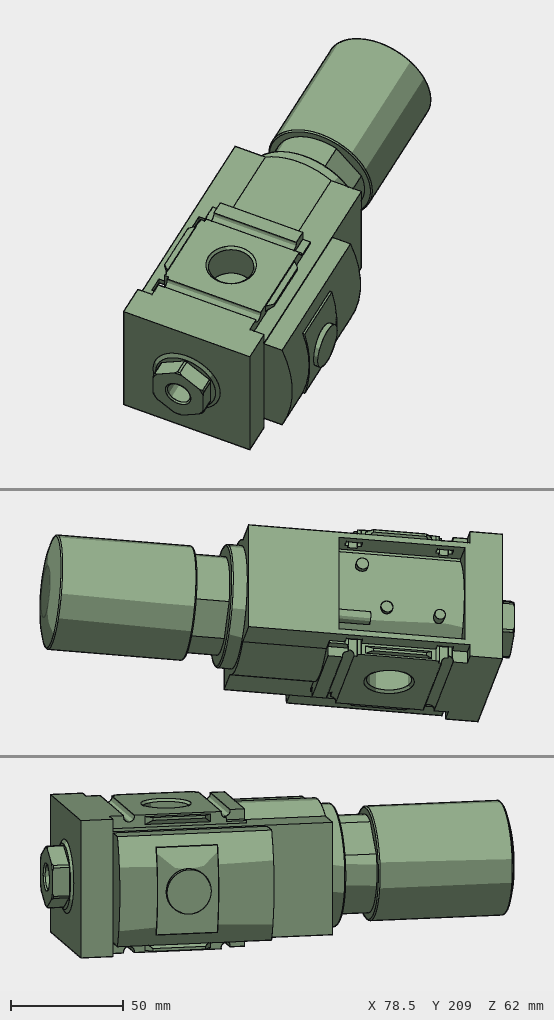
import cadquery as cq
import math

OVERALL_LENGTH = 209.0
OVERALL_WIDTH = 78.5

BLOCK = 62.0
HALF = BLOCK / 2
FRONT_LENGTH = 14.6
BODY_LENGTH = 114.4
BODY_HEIGHT = 50.8
DECK = BODY_HEIGHT / 2
BONNET_DIA = 60.2
EDGE_CHAMFER = 0.6

PORT_Y = 45.5
PLATE_WIDTH = 48.0
PLATE_END = 76.7
PORT_DIA = 20.0
PORT_MOUTH_DIA = 22.4
PORT_DEPTH = 16.7
GROOVE_OFFSET = 22.2
GROOVE_WIDTH = 4.8
GROOVE_DEPTH = 3.0
BAR_WIDTH = 40.5
NOTCH_FLOOR_HEIGHT = 1.0
LIP_REACH = 3.0
LIP_LENGTH = 29.7
LIP_DROP = 0.8
LIP_EDGE_HEIGHT = 1.3
LIP_ROOT_HEIGHT = 3.5

SLOT_OFFSET = 20.5
SLOT_OUTER_X = -27.4
SLOT_STEP_X = -23.8
SLOT_INNER_X = -22.0
SLOT_HEAD = 7.3
SLOT_STEM = 4.2

WINDOW_START = 17.0
WINDOW_END = 73.5
WINDOW_HEIGHT = 45.5
WINDOW_FLOOR_X = -19.9
CORE_DIA = 58.5
PIN_TIP_X = -30.3
STUD_TIP_X = -28.9
CORE_PINS = [
    (63.0, 11.0, 5.5, PIN_TIP_X),
    (51.6, -8.5, 5.5, STUD_TIP_X),
    (28.0, -11.0, 4.8, PIN_TIP_X),
]
ROD_DIA = 5.9
ROD_X = -26.0
ROD_Z = -13.5
ROD_LENGTH = 14.6

COVER_END = 84.7
COVER_HEIGHT = 49.8
COVER_EDGE_X = 40.0
COVER_CROWN_X = 45.0
PANEL_LENGTH = 27.8
PANEL_HEIGHT = 39.5
PANEL_EDGE_X = 42.9
PANEL_CROWN_X = 45.4
BUTTON_DIA = 20.0
BUTTON_TIP_X = OVERALL_WIDTH - HALF

FLANGE_BASE_DIA = 33.0
FLANGE_TOP_DIA = 29.5
FLANGE_LENGTH = 1.0
NUT_LENGTH = 8.8
NUT_FLATS = 24.7
NUT_ROUND_DIA = 27.8
NUT_CHAMFER = 0.6
VENT_DIA = 11.0
VENT_MOUTH_DIA = 12.5
VENT_DEPTH = 16.7

COLLAR_DIA = 55.0
COLLAR_END = 121.3
NECK_DIA = 44.0
NECK_FLATS = 40.4
NECK_FLAT_ANGLE = -45.0

KNOB_DIA = 51.0
KNOB_START = 136.5
KNOB_END = OVERALL_LENGTH - NUT_LENGTH
KNOB_FLAT_DIA = 23.0
KNOB_DOME_HEIGHT = 2.5


def box(x_range, y_range, z_range):
    """Box between two limits on each axis."""
    size = [high - low for low, high in (x_range, y_range, z_range)]
    corner = (x_range[0], y_range[0], z_range[0])
    return cq.Workplane("XY").box(*size, centered=False).translate(corner)


def cylinder_y(diameter, start, end, x=0, z=0):
    """Cylinder along Y from start to end."""
    return cq.Workplane("XZ", origin=(x, start, z)).circle(diameter / 2).extrude(start - end)


def cylinder_x(diameter, start, end, y, z):
    """Cylinder along X from start to end."""
    return cq.Workplane("YZ", origin=(start, y, z)).circle(diameter / 2).extrude(end - start)


def both_decks(shape):
    """A shape on the +Z deck together with its mirror image on the -Z deck."""
    return shape.union(shape.mirror("XY"))


def port_plate():
    half_width = PLATE_WIDTH / 2
    plate = box((-half_width, half_width), (FRONT_LENGTH, PLATE_END), (0, HALF))
    notch = corner_notch()
    lip = clamping_lip()
    plate = plate.cut(notch).cut(notch.mirror("YZ"))
    return plate.union(lip).union(lip.mirror("YZ"))


def corner_notch():
    """Step in the rear -X corner of a plate, reaching the middle of the rear groove."""
    return box(
        (-PLATE_WIDTH / 2, -BAR_WIDTH / 2),
        (PORT_Y + GROOVE_OFFSET, PLATE_END),
        (DECK + NOTCH_FLOOR_HEIGHT, HALF),
    )


def plate_groove(center_y):
    """Rounded groove along X across a plate."""
    return (
        cq.Workplane("YZ", origin=(-PLATE_WIDTH / 2, center_y, HALF))
        .moveTo(-GROOVE_WIDTH / 2, 0)
        .threePointArc((0, -GROOVE_DEPTH), (GROOVE_WIDTH / 2, 0))
        .close()
        .extrude(PLATE_WIDTH)
    )


def clamping_lip():
    """Lip with a sloping underside and beveled ends on the -X flank of a plate."""
    root_x = -PLATE_WIDTH / 2
    edge_x = root_x - LIP_REACH
    top = HALF - LIP_DROP
    profile = [
        (root_x, top),
        (edge_x, top),
        (edge_x, top - LIP_EDGE_HEIGHT),
        (root_x, top - LIP_ROOT_HEIGHT),
    ]
    lip = (
        cq.Workplane("XZ", origin=(0, PORT_Y, 0))
        .polyline(profile)
        .close()
        .extrude(LIP_LENGTH / 2, both=True)
    )
    half_length = LIP_LENGTH / 2
    outline = [
        (root_x, -half_length),
        (edge_x, LIP_REACH - half_length),
        (edge_x, half_length - LIP_REACH),
        (root_x, half_length),
    ]
    beveled = cq.Workplane("XY", origin=(0, PORT_Y, 0)).polyline(outline).close().extrude(HALF)
    return lip.intersect(beveled)


def port_hole():
    """Port bore with a conical mouth, running down from the +Z face."""
    mouth_depth = (PORT_MOUTH_DIA - PORT_DIA) / 2
    bore = (
        cq.Workplane("XY", origin=(0, PORT_Y, HALF))
        .circle(PORT_DIA / 2)
        .extrude(-PORT_DEPTH)
    )
    mouth = (
        cq.Workplane("XY", origin=(0, PORT_Y, HALF))
        .circle(PORT_MOUTH_DIA / 2)
        .extrude(-mouth_depth, taper=45)
    )
    return bore.union(mouth)


def t_slot(center_y):
    """T-shaped slot from the plate top down into the side window."""
    z_range = (WINDOW_HEIGHT / 2, HALF)
    head = box(
        (SLOT_OUTER_X, SLOT_STEP_X),
        (center_y - SLOT_HEAD / 2, center_y + SLOT_HEAD / 2),
        z_range,
    )
    stem = box(
        (SLOT_STEP_X, SLOT_INNER_X),
        (center_y - SLOT_STEM / 2, center_y + SLOT_STEM / 2),
        z_range,
    )
    return head.union(stem)


def side_window():
    """Pocket in the -X side that leaves the round core standing."""
    half_height = WINDOW_HEIGHT / 2
    pocket = box(
        (-HALF, WINDOW_FLOOR_X), (WINDOW_START, WINDOW_END), (-half_height, half_height)
    )
    return pocket.cut(cylinder_y(CORE_DIA, WINDOW_START, WINDOW_END))


def add_core_details(housing):
    """Pins and a rod on the round core in the window."""
    for y, z, diameter, tip_x in CORE_PINS:
        housing = housing.union(cylinder_x(diameter, tip_x, WINDOW_FLOOR_X, y, z))
    rod_start = WINDOW_END - ROD_LENGTH
    return housing.union(cylinder_y(ROD_DIA, rod_start, WINDOW_END, ROD_X, ROD_Z))


def curved_pad(y_range, height, edge_x, crown_x):
    """Pad on the +X face whose outer face arches in Z from its edges up to its crown."""
    half_height = height / 2
    rise = crown_x - edge_x
    radius = (rise**2 + half_height**2) / (2 * rise)
    pad = box((HALF, crown_x), y_range, (-half_height, half_height))
    return pad.intersect(cylinder_y(2 * radius, *y_range, crown_x - radius))


def side_cover():
    """Cover with a curved outer face, a raised panel and a round button."""
    cover = curved_pad((FRONT_LENGTH, COVER_END), COVER_HEIGHT, COVER_EDGE_X, COVER_CROWN_X)
    panel_range = (PORT_Y - PANEL_LENGTH / 2, PORT_Y + PANEL_LENGTH / 2)
    panel = curved_pad(panel_range, PANEL_HEIGHT, PANEL_EDGE_X, PANEL_CROWN_X)
    button = cylinder_x(BUTTON_DIA, HALF, BUTTON_TIP_X, PORT_Y, 0)
    return cover.union(panel).union(button)


def vent_nut():
    """Conical flange and hexagon on the front face, with two flats facing +X and -X."""
    flange_taper = math.degrees(math.atan((FLANGE_BASE_DIA - FLANGE_TOP_DIA) / 2 / FLANGE_LENGTH))
    flange = (
        cq.Workplane("XZ").circle(FLANGE_BASE_DIA / 2).extrude(FLANGE_LENGTH, taper=flange_taper)
    )
    hexagon = (
        cq.Workplane("XZ")
        .polygon(6, NUT_FLATS, circumscribed=True)
        .extrude(NUT_LENGTH)
    )
    turned = cylinder_y(NUT_ROUND_DIA, -NUT_LENGTH, 0).faces("<Y").chamfer(NUT_CHAMFER)
    return flange.union(hexagon.intersect(turned))


def vent_hole():
    front = -NUT_LENGTH
    mouth_depth = (VENT_MOUTH_DIA - VENT_DIA) / 2
    bore = cylinder_y(VENT_DIA, front, front + VENT_DEPTH)
    mouth = (
        cq.Workplane("XZ", origin=(0, front, 0))
        .circle(VENT_MOUTH_DIA / 2)
        .extrude(-mouth_depth, taper=45)
    )
    return bore.union(mouth)


def neck():
    """Collar and the neck behind it, with two wrench flats."""
    collar = cylinder_y(COLLAR_DIA, BODY_LENGTH, COLLAR_END).faces(">Y").chamfer(EDGE_CHAMFER)
    half_flats = NECK_FLATS / 2
    flats = (
        box((-half_flats, half_flats), (COLLAR_END, KNOB_START), (-NECK_DIA, NECK_DIA))
        .rotate((0, 0, 0), (0, 1, 0), NECK_FLAT_ANGLE)
    )
    return collar.union(cylinder_y(NECK_DIA, COLLAR_END, KNOB_START).intersect(flats))


def build_housing():
    block = box((-HALF, HALF), (0, FRONT_LENGTH), (-HALF, HALF))
    body = box((-HALF, HALF), (FRONT_LENGTH, BODY_LENGTH), (-DECK, DECK))
    bonnet = cylinder_y(BONNET_DIA, FRONT_LENGTH, BODY_LENGTH)
    housing = block.union(body).union(bonnet).union(both_decks(port_plate()))
    housing = housing.cut(both_decks(port_hole())).cut(side_window())
    for offset in (-GROOVE_OFFSET, GROOVE_OFFSET):
        housing = housing.cut(both_decks(plate_groove(PORT_Y + offset)))
    for offset in (-SLOT_OFFSET, SLOT_OFFSET):
        housing = housing.cut(both_decks(t_slot(PORT_Y + offset)))
    housing = add_core_details(housing)
    return housing.union(side_cover()).union(vent_nut()).cut(vent_hole()).union(neck())


def build_knob():
    """Turned knob with a flat end that rounds off into a domed shoulder."""
    radius = KNOB_DIA / 2
    flat_radius = KNOB_FLAT_DIA / 2
    shoulder_radius = radius - EDGE_CHAMFER
    shoulder_y = KNOB_END - KNOB_DOME_HEIGHT
    run = shoulder_radius - flat_radius
    dome_radius = (run**2 + KNOB_DOME_HEIGHT**2) / (2 * KNOB_DOME_HEIGHT)
    half_angle = math.asin(run / dome_radius) / 2
    dome_middle = (
        flat_radius + dome_radius * math.sin(half_angle),
        KNOB_END - dome_radius * (1 - math.cos(half_angle)),
    )
    return (
        cq.Workplane("XY")
        .moveTo(0, KNOB_START)
        .lineTo(radius - EDGE_CHAMFER, KNOB_START)
        .lineTo(radius, KNOB_START + EDGE_CHAMFER)
        .lineTo(radius, shoulder_y - EDGE_CHAMFER)
        .lineTo(shoulder_radius, shoulder_y)
        .threePointArc(dome_middle, (flat_radius, KNOB_END))
        .lineTo(0, KNOB_END)
        .close()
        .revolve(360, (0, 0, 0), (0, 1, 0))
    )


housing = build_housing()
knob = build_knob()

result = cq.Compound.makeCompound([housing.val(), knob.val()])